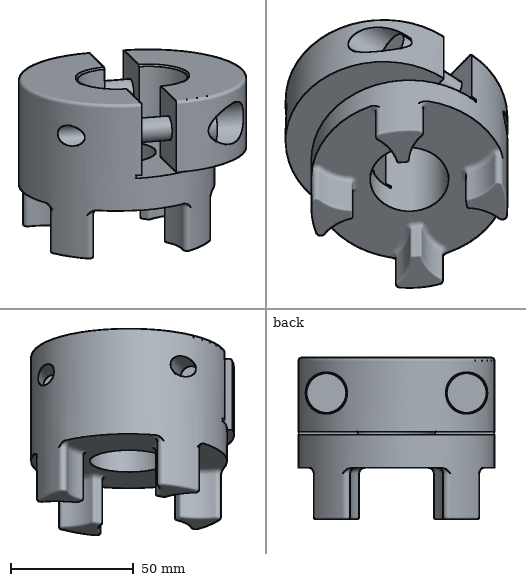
import cadquery as cq
import math

outer_radius = 40.0
bore_radius = 16.0
hub_height = 45.1
base_height = 13.65
split_setback = 0.6
relief_depth = 3.0
bore_chamfer = 0.75
rim_fillet = 1.4

clamp_offset = 13.5
saw_gap = 1.2
clamp_bottom = base_height + saw_gap

leg_count = 4
leg_pitch = 360 / leg_count
leg_length = 20.9
leg_inner_radius = 23.4
lobe_radius = 19.0
lobe_distance = 30.0
leg_outer_corner = 2.0
leg_inner_corner = 1.1
leg_tip_fillet = 0.9
leg_root_fillet = 2.2

screw_positions = (-28.6, 28.6)
screw_z = hub_height - 14.5
shank_radius = 5.0
head_radius = 8.0
head_length = 10.0
head_end_y = 32.35
head_seat_y = head_end_y - head_length
shank_length = 35.0
shank_tip_y = head_seat_y - shank_length
counterbore_radius = 8.5
tapped_hole_radius = 4.3

blank_side = 3 * outer_radius
edge_tolerance = 0.01


def y_cylinder(x, radius, y_start, y_end):
    """Cylinder along +Y at screw height."""
    start = cq.Vector(x, y_start, screw_z)
    return cq.Workplane(cq.Solid.makeCylinder(radius, y_end - y_start, start, cq.Vector(0, 1, 0)))


def polar(radius, degrees):
    """Point at a radius and angle about the Z axis."""
    angle = math.radians(degrees)
    return cq.Vector(radius * math.cos(angle), radius * math.sin(angle))


def mirrored(point):
    """Point on the other side of the leg centre line."""
    return cq.Vector(point.x, -point.y)


def corner_arc(center_distance, corner_radius, face_radius):
    """Rounding between a cylindrical leg face and the lobe flank: face point, mid point, flank point."""
    lobe_center = polar(lobe_distance, leg_pitch / 2)
    reach = lobe_radius + corner_radius
    cos_angle = (center_distance**2 + lobe_distance**2 - reach**2) / (2 * center_distance * lobe_distance)
    direction = leg_pitch / 2 - math.degrees(math.acos(cos_angle))
    center = polar(center_distance, direction)
    face_point = polar(face_radius, direction)
    to_flank = (lobe_center - center).normalized()
    to_face = (face_point - center).normalized()
    mid_point = center + (to_flank + to_face).normalized() * corner_radius
    return face_point, mid_point, center + to_flank * corner_radius


def leg_outline():
    """Closed outline of the leg that points along +X."""
    outer_face, outer_mid, outer_flank = corner_arc(
        outer_radius - leg_outer_corner, leg_outer_corner, outer_radius
    )
    inner_face, inner_mid, inner_flank = corner_arc(
        leg_inner_radius + leg_inner_corner, leg_inner_corner, leg_inner_radius
    )
    lobe_center = polar(lobe_distance, leg_pitch / 2)
    chord_mid = (outer_flank + inner_flank) * 0.5
    flank_mid = lobe_center + (chord_mid - lobe_center).normalized() * lobe_radius

    def arc(sketch, mid, end):
        return sketch.threePointArc(mid.toTuple()[:2], end.toTuple()[:2])

    outline = cq.Workplane("XY").moveTo(outer_face.x, outer_face.y)
    outline = arc(outline, outer_mid, outer_flank)
    outline = arc(outline, flank_mid, inner_flank)
    outline = arc(outline, inner_mid, inner_face)
    outline = arc(outline, cq.Vector(leg_inner_radius, 0), mirrored(inner_face))
    outline = arc(outline, mirrored(inner_mid), mirrored(inner_flank))
    outline = arc(outline, mirrored(flank_mid), mirrored(outer_flank))
    outline = arc(outline, mirrored(outer_mid), mirrored(outer_face))
    outline = arc(outline, cq.Vector(outer_radius, 0), outer_face)
    return outline.close()


def make_leg():
    """One leg along +X, standing down from the hub underside, with a rounded tip."""
    return leg_outline().extrude(-leg_length).faces("<Z").edges().fillet(leg_tip_fillet)


def make_ring(bottom, top):
    """Plain ring with the hub's outer and bore radii, its face seam turned to the middle of a leg."""
    sketch = cq.Workplane("XY").workplane(offset=bottom).circle(outer_radius).circle(bore_radius)
    return sketch.extrude(top - bottom).rotate((0, 0, 0), (0, 0, 1), leg_pitch / 2)


def make_legged_disc():
    """Hub disc with its legs; the root fillets run around each leg and are trimmed to the hub radius."""
    disc = cq.Workplane("XY").rect(blank_side, blank_side).extrude(base_height)
    leg = make_leg()
    for index in range(leg_count):
        disc = disc.union(leg.rotate((0, 0, 0), (0, 0, 1), leg_pitch * (index + 0.5)))
    root_box = cq.selectors.BoxSelector(
        (-outer_radius, -outer_radius, -edge_tolerance), (outer_radius, outer_radius, edge_tolerance)
    )
    disc = disc.edges(root_box).fillet(leg_root_fillet)
    return disc.intersect(make_ring(-leg_length, base_height))


def side_block(y_limit, side, bottom, height):
    """Block that fills the +Y (side 1) or -Y (side -1) side of y_limit over the given height."""
    block = cq.Workplane("XY").workplane(offset=bottom).center(0, y_limit + side * blank_side / 2)
    return block.rect(blank_side, blank_side).extrude(height)


def make_split_ring(bottom, side):
    """Half of the clamping ring, with a rounded outer rim and a chamfered bore mouth."""
    ring = make_ring(bottom, hub_height)
    ring = ring.faces(">Z").edges(cq.selectors.RadiusNthSelector(1)).fillet(rim_fillet)
    ring = ring.faces(">Z").edges(cq.selectors.RadiusNthSelector(0)).chamfer(bore_chamfer)
    return ring.intersect(side_block(side * split_setback, side, bottom, hub_height - bottom))


def make_hub():
    """Fixed half ring with tapped screw holes and the end of the saw cut, standing on the legged disc."""
    upper = make_split_ring(base_height, -1)
    for x in screw_positions:
        upper = upper.cut(y_cylinder(x, tapped_hole_radius, -outer_radius, shank_tip_y))
        upper = upper.cut(y_cylinder(x, shank_radius, shank_tip_y, 0))
    upper = upper.cut(side_block(-relief_depth, 1, base_height, saw_gap))
    return make_legged_disc().union(upper)


def make_clamp():
    """Loose half ring with counterbored screw holes."""
    clamp = make_split_ring(clamp_bottom, 1).translate((0, clamp_offset, 0))
    clamp_back = clamp_offset + outer_radius
    for x in screw_positions:
        clamp = clamp.cut(y_cylinder(x, shank_radius, 0, clamp_back))
        clamp = clamp.cut(y_cylinder(x, counterbore_radius, head_seat_y, clamp_back))
    return clamp


def make_screw(x):
    """Cap screw with a plain cylindrical head towards +Y."""
    shank = y_cylinder(x, shank_radius, shank_tip_y, head_seat_y)
    return shank.union(y_cylinder(x, head_radius, head_seat_y, head_end_y))


hub = make_hub()
clamp = make_clamp()
screws = [make_screw(x).solids().val() for x in screw_positions]

result = cq.Compound.makeCompound([hub.solids().val(), clamp.solids().val(), *screws])